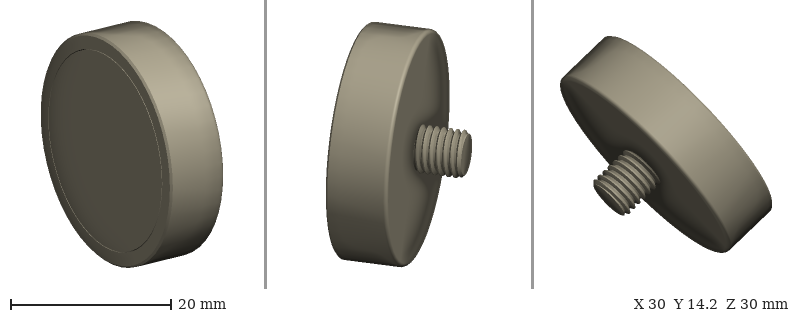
import cadquery as cq

case_diameter = 30.0
case_height = 8.0
front_chamfer = 0.27
back_fillet = 0.5

recess_diameter = 26.0
rim_gap = 0.1
magnet_diameter = recess_diameter - 2 * rim_gap
magnet_thickness = 4.5

overall_depth = 14.2
thread_diameter = 6.12
root_diameter = 5.25
thread_pitch = 0.9
ridge_base_width = 0.7
ridge_crest_width = 0.15
crest_from_end = 0.3
thread_turns = 9
ridge_overlap = 0.1
trim_clearance = 0.3


def disc(diameter, start, length):
    """Solid cylinder along +Y that starts at Y = start."""
    return cq.Workplane("XZ", origin=(0, start, 0)).circle(diameter / 2).extrude(-length)


def make_case_cup():
    cup = disc(case_diameter, 0, case_height)
    cup = cup.faces("<Y").edges().chamfer(front_chamfer)
    cup = cup.faces(">Y").edges().fillet(back_fillet)
    return cup.cut(disc(recess_diameter, 0, magnet_thickness))


def make_thread_ridge():
    """Right-hand helical ridge, swept along Z and then turned onto the Y axis."""
    root_radius = root_diameter / 2
    crest_radius = thread_diameter / 2
    half_base = ridge_base_width / 2
    half_crest = ridge_crest_width / 2
    flank_slope = (half_base - half_crest) / (crest_radius - root_radius)
    foot_radius = root_radius - ridge_overlap
    half_foot = half_base + ridge_overlap * flank_slope
    helix = cq.Wire.makeHelix(thread_pitch, thread_turns * thread_pitch, root_radius)
    ridge = (
        cq.Workplane("XZ")
        .polyline([
            (foot_radius, -half_foot),
            (crest_radius, -half_crest),
            (crest_radius, half_crest),
            (foot_radius, half_foot),
        ])
        .close()
        .sweep(cq.Workplane(helix), isFrenet=True)
    )
    helix_start = overall_depth - crest_from_end - (thread_turns - 1) * thread_pitch
    return ridge.rotate((0, 0, 0), (1, 0, 0), -90).translate((0, helix_start, 0))


def make_stud():
    """Threaded stud whose end is chamfered down to the thread root."""
    stud_length = overall_depth - case_height
    envelope_diameter = thread_diameter + 2 * trim_clearance
    end_chamfer = (envelope_diameter - root_diameter) / 2
    envelope = disc(envelope_diameter, case_height, stud_length)
    envelope = envelope.faces(">Y").edges().chamfer(end_chamfer)
    core = disc(root_diameter, case_height, stud_length)
    return core.union(make_thread_ridge().intersect(envelope))


def make_case():
    """Cup and stud are one piece."""
    return make_case_cup().union(make_stud())


def make_magnet():
    return disc(magnet_diameter, 0, magnet_thickness)


case = make_case()
magnet = make_magnet()

result = cq.Compound.makeCompound([case.val(), magnet.val()])